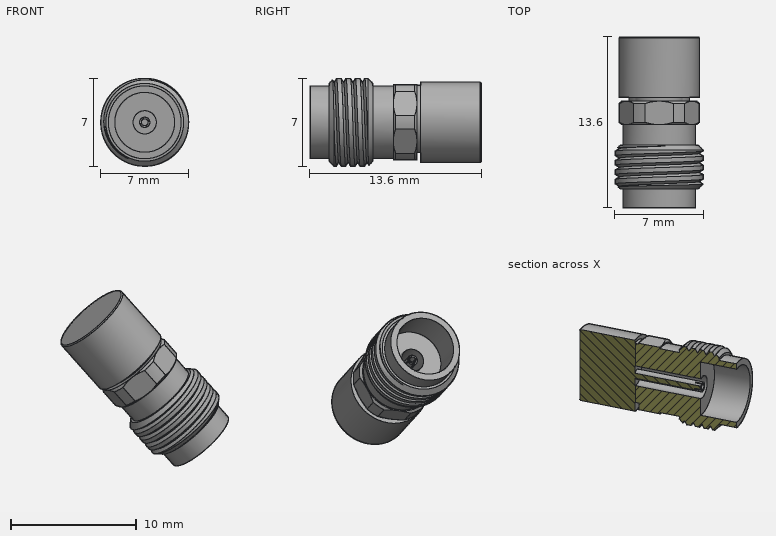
import cadquery as cq
import math

THREAD_START = 1.5
THREAD_END = 4.99
HEX_START = 6.61
HEX_END = 8.49
SLEEVE_START = 8.79
TOTAL_LENGTH = 13.6

BARREL_RADIUS = 2.9
BORE_RADIUS = 2.38
BORE_DEPTH = 3.09
CONTACT_HOLE_RADIUS = 0.92

THREAD_RADIUS = 7.0 / 2
THREAD_PITCH = 0.75
GROOVE_DEPTH = 0.33
GROOVE_WIDTH = 0.4
GROOVE_STATION = 1.71
THREAD_CHAMFER = 0.41
GROOVE_OVERCUT = 0.07

HEX_FLATS = 5.98
HEX_CORNER_RADIUS = 3.2
HEX_CHAMFER_LENGTH = 0.19
HEX_CHAMFER_DEPTH = HEX_CORNER_RADIUS - HEX_FLATS / 2

NECK_RADIUS = 2.42
LOBE_RADIUS = 1.95
LOBE_OFFSET = 1.0

SLEEVE_RADIUS = 3.21
SLEEVE_CHAMFER = 0.1
CONTACT_RADIUS = 0.41
SOCKET_RADIUS = 0.27
SOCKET_DEPTH = 0.82
SLOT_WIDTH = 0.05
SLOT_DEPTH = 0.55
SLOT_ANGLE = 21.0


def rod(radius, start, end, height=0.0):
    """Round bar along Y between two stations, its axis raised by height."""
    plane = cq.Workplane("XZ", origin=(0, start, height))
    return plane.circle(radius).extrude(start - end)


def make_thread():
    envelope = rod(THREAD_RADIUS, THREAD_START, THREAD_END).faces("<Y or >Y").chamfer(THREAD_CHAMFER)

    start = GROOVE_STATION - THREAD_PITCH
    height = THREAD_END + THREAD_PITCH - start
    root = THREAD_RADIUS - GROOVE_DEPTH
    top = THREAD_RADIUS + GROOVE_OVERCUT
    half_top = GROOVE_WIDTH / 2 * (top - root) / GROOVE_DEPTH
    helix = cq.Wire.makeHelix(THREAD_PITCH, height, root)
    groove = (
        cq.Workplane("XZ")
        .polyline([(root, 0), (top, half_top), (top, -half_top)])
        .close()
        .sweep(cq.Workplane(helix), isFrenet=True)
        .rotate((0, 0, 0), (0, 0, 1), 180)
        .rotate((0, 0, 0), (1, 0, 0), -90)
        .translate((0, start, 0))
    )
    bar = rod(THREAD_RADIUS, start - THREAD_PITCH, start + height + THREAD_PITCH)
    return bar.cut(groove).intersect(envelope)


def make_hexagon():
    corner_diameter = HEX_FLATS / math.cos(math.radians(30))
    prism = (
        cq.Workplane("XZ", origin=(0, HEX_START, 0))
        .polygon(6, corner_diameter)
        .extrude(HEX_START - HEX_END)
    )
    turned = (
        rod(HEX_CORNER_RADIUS, HEX_START, HEX_END)
        .faces("<Y or >Y")
        .edges()
        .chamfer(HEX_CHAMFER_LENGTH, HEX_CHAMFER_DEPTH)
    )
    return prism.intersect(turned)


def make_housing():
    neck = rod(NECK_RADIUS, HEX_END, SLEEVE_START)
    lobe = rod(LOBE_RADIUS, HEX_END, SLEEVE_START, LOBE_OFFSET)
    body = rod(BARREL_RADIUS, 0, HEX_START)
    body = body.union(make_thread()).union(make_hexagon()).union(neck.union(lobe))
    body = body.cut(rod(BORE_RADIUS, 0, BORE_DEPTH))
    return body.cut(rod(CONTACT_HOLE_RADIUS, BORE_DEPTH, SLEEVE_START))


def make_contact():
    contact = rod(CONTACT_RADIUS, BORE_DEPTH, SLEEVE_START)
    contact = contact.cut(rod(SOCKET_RADIUS, BORE_DEPTH, BORE_DEPTH + SOCKET_DEPTH))
    slot_centre = BORE_DEPTH + SLOT_DEPTH / 2
    slot = cq.Workplane("XY").box(2 * CONTACT_RADIUS, SLOT_DEPTH, SLOT_WIDTH)
    for angle in (SLOT_ANGLE, SLOT_ANGLE + 90):
        contact = contact.cut(slot.rotate((0, 0, 0), (0, 1, 0), -angle).translate((0, slot_centre, 0)))
    return contact


def make_sleeve():
    """Rear sleeve, made in one piece with the centre contact."""
    sleeve = rod(SLEEVE_RADIUS, SLEEVE_START, TOTAL_LENGTH).faces(">Y").chamfer(SLEEVE_CHAMFER)
    return sleeve.union(make_contact())


housing = make_housing()
sleeve = make_sleeve()
result = cq.Compound.makeCompound([housing.solids().val(), sleeve.solids().val()])